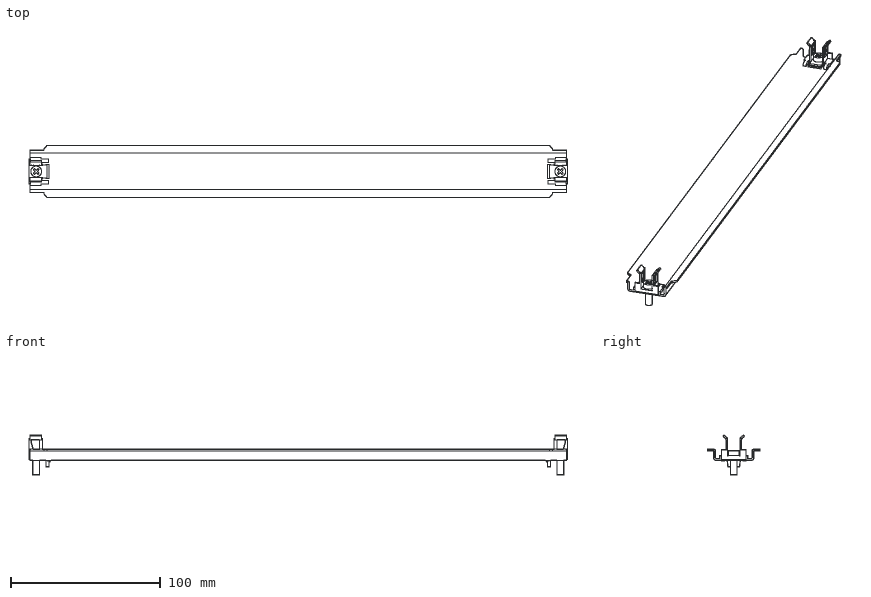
import cadquery as cq
import math


overall_length = 359.5
sheet = 1.0

end_overhang = 0.55
rail_length = overall_length - 2 * end_overhang
rail_width = 35.0
rail_height = 7.5
channel_width = 27.0
rail_sheet = 1.3
bend_inside = 0.5
bend_outside = bend_inside + rail_sheet
stub_width = 28.5
flange_start = 9.5
bevel_length = 2.0
bevel_width = 2.5

base_length = 7.5
base_half_width = 9.5
base_top = 3.2
plate_half_width = 8.3
plate_bottom = 0.7
ear_top = 7.2
plate_thickness = 1.0

arm_length = 8.5
arm_outer = 5.0
arm_inner = arm_outer - sheet
lip_base = 14.7
lip_top = 17.0
lip_reach = lip_top - lip_base
lip_corner = 0.7
window_start = 1.0
window_end = 6.5
window_bottom = 7.0
window_top = 13.5
gusset_width = 1.5
gusset_height = 5.0

screw_offset = 4.3
shank_diameter = 4.5
shank_bottom = -9.7
head_diameter = 7.2
head_bottom = base_top
head_top = 6.5
recess_length = 4.3
recess_width = 1.0
recess_depth = 1.5
recess_angle = 45

tongue_outer = plate_half_width
tongue_width = 2.0
tongue_end = 13.0
tongue_tip = -0.55
tab_end = 11.5
hook_start = 10.8
hook_end = 13.0
hook_top = 2.0
hook_top_half_width = 4.5
hook_tip_half_width = 4.0
hook_bottom = -4.3
hook_knee = 1.5
tab_half_width = 4.3


def box(x0, x1, y0, y1, z0, z1):
    """Axis-aligned block between the given limits."""
    return cq.Workplane("XY").box(x1 - x0, y1 - y0, z1 - z0, centered=False).translate((x0, y0, z0))


def both_sides(solid):
    """The solid and its mirror image across the middle plane Y = 0."""
    return solid.union(solid.mirror("XZ"))


def make_rail():
    """Bent-sheet channel with outward flanges that stop short of both ends."""
    wall_outer = channel_width / 2
    wall_inner = wall_outer - rail_sheet
    edge = rail_width / 2
    half = (
        cq.Workplane("YZ")
        .moveTo(0, 0)
        .lineTo(wall_outer - bend_outside, 0)
        .radiusArc((wall_outer, bend_outside), -bend_outside)
        .lineTo(wall_outer, rail_height - rail_sheet)
        .lineTo(edge, rail_height - rail_sheet)
        .lineTo(edge, rail_height)
        .lineTo(wall_outer, rail_height)
        .radiusArc((wall_inner, rail_height - rail_sheet), -rail_sheet)
        .lineTo(wall_inner, bend_outside)
        .radiusArc((wall_inner - bend_inside, rail_sheet), bend_inside)
        .lineTo(0, rail_sheet)
        .close()
        .extrude(rail_length / 2, both=True)
    )
    stub = stub_width / 2
    flange_end = rail_length / 2 - flange_start
    outline = (
        cq.Workplane("XY")
        .moveTo(0, 0)
        .lineTo(rail_length / 2, 0)
        .lineTo(rail_length / 2, stub)
        .lineTo(flange_end, stub)
        .lineTo(flange_end, edge - bevel_width)
        .lineTo(flange_end - bevel_length, edge)
        .lineTo(0, edge)
        .close()
        .extrude(rail_height)
    )
    return both_sides(half.intersect(outline.union(outline.mirror("YZ"))))


def make_base():
    """Block on the rail floor, the end plate and the ears beside the spring arms."""
    base = box(0, base_length, -base_half_width, base_half_width, 0, base_top)
    plate = box(
        -end_overhang, plate_thickness - end_overhang,
        -plate_half_width, plate_half_width, plate_bottom, base_top,
    )
    ear = box(
        -end_overhang, plate_thickness - end_overhang,
        arm_inner, plate_half_width, base_top, ear_top,
    )
    return base.union(plate).union(both_sides(ear))


def make_arm():
    """Spring arm on the +Y side."""
    frame = box(-end_overhang, arm_length, arm_inner, arm_outer, plate_bottom, lip_base)
    window = (
        cq.Workplane("XZ")
        .moveTo(window_start + gusset_width, window_bottom)
        .lineTo(window_end, window_bottom)
        .lineTo(window_end, window_top)
        .lineTo(window_start, window_top)
        .lineTo(window_start, window_bottom + gusset_height)
        .close()
        .extrude(-2 * arm_outer)
    )
    slant = sheet * math.sqrt(0.5)
    lip = (
        cq.Workplane("YZ")
        .moveTo(arm_inner, lip_base - sheet)
        .lineTo(arm_outer, lip_base - sheet)
        .lineTo(arm_outer + lip_reach, lip_top - slant)
        .lineTo(arm_outer + lip_reach - slant, lip_top)
        .lineTo(arm_inner, lip_base)
        .close()
        .extrude(arm_length - lip_corner)
    )
    return frame.cut(window).union(lip)


def make_screw():
    """Screw through base and rail floor, with a cross recess in its head."""
    shank = cq.Workplane("XY", origin=(screw_offset, 0, shank_bottom)).circle(shank_diameter / 2)
    head = cq.Workplane("XY", origin=(screw_offset, 0, head_bottom)).circle(head_diameter / 2)
    screw = shank.extrude(head_top - shank_bottom).union(head.extrude(head_top - head_bottom))
    for angle in (recess_angle, recess_angle + 90):
        slot = (
            cq.Workplane("XY", origin=(screw_offset, 0, head_top))
            .transformed(rotate=(0, 0, angle))
            .rect(recess_length, recess_width)
            .extrude(-recess_depth)
        )
        screw = screw.cut(slot)
    return screw


def make_tongue():
    """Strip on the +Y side that curves down from the base through the rail floor."""
    return (
        cq.Workplane("XZ", origin=(0, tongue_outer, 0))
        .moveTo(base_length, tongue_tip + sheet)
        .lineTo(base_length, base_top)
        .lineTo(tongue_end - base_top, base_top)
        .radiusArc((tongue_end, 0), base_top)
        .lineTo(tongue_end, tongue_tip)
        .lineTo(tongue_end - sheet, tongue_tip)
        .lineTo(tongue_end - sheet, tongue_tip + sheet)
        .close()
        .extrude(tongue_width)
    )


def make_hook():
    """Middle tab leading to a tapered hook below the rail floor."""
    tab = box(base_length, tab_end, -tab_half_width, tab_half_width, 0, base_top)
    hook = (
        cq.Workplane("YZ", origin=(hook_start, 0, 0))
        .polyline([
            (-hook_top_half_width, hook_top),
            (hook_top_half_width, hook_top),
            (hook_tip_half_width, hook_bottom),
            (-hook_tip_half_width, hook_bottom),
        ])
        .close()
        .extrude(hook_end - hook_start)
    )
    knee = (
        cq.Workplane("XZ")
        .polyline([(hook_end, 0), (hook_end + hook_knee, 0), (hook_end, -hook_knee)])
        .close()
        .extrude(tab_half_width, both=True)
    )
    return tab.union(hook).union(knee)


def make_clip():
    """Clip for the -X end, with the rail's end face at X = 0."""
    clip = make_base().union(make_hook()).union(both_sides(make_tongue()))
    return clip.union(both_sides(make_arm())).union(make_screw())


left_clip = make_clip().translate((-rail_length / 2, 0, 0))
result = make_rail().union(left_clip).union(left_clip.mirror("YZ"))